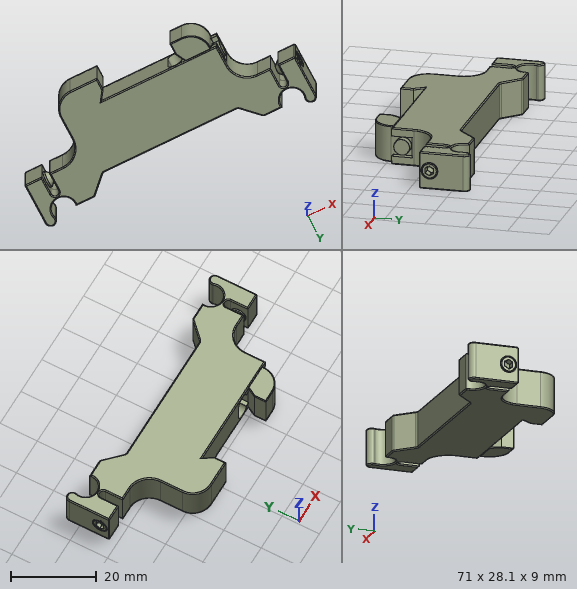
import cadquery as cq
import math

HEIGHT = 9.0
LENGTH = 70.9
ARM_TOP_Y = 28.1
ARM_BOTTOM_Y = 16.1
EDGE_CHAMFER = 0.3
ARM_CORNER_CHAMFER = 0.2
CORNER_RADIUS = 1.0

SEAT_X = 29.95
SEAT_Y = 25.5
SEAT_RADIUS = 3.0
ARM_TIP_RADIUS = 1.35
ARM_TIP_FLAT = 0.003
LAND_Y = 26.05
LAND_INNER_X = 22.15
SLOT_WIDTH = 2.0
SLOT_TOP_Y = 21.8

BACK_Y = 21.6
BODY_HALF_LENGTH = 20.3
SHOULDER_RADIUS = 5.25
FRONT_Y = 5.5
HOOK_RADIUS = 5.0
HOOK_TIP_X = -8.3
HOOK_TIP_Y = 3.1
HOOK_ROOT_X = -9.9

JAW_HEIGHT = 8.9
JAW_CHAMFER = 0.2
JAW_TIP_X = 10.8
JAW_ROOT_X = 12.1
JAW_OUTER_X = 18.8
NECK_LEFT_X = 12.35
NECK_HEIGHT = 5.0
CHANNEL_DEPTH = 5.0
POCKET_LEFT_X = 7.5
POCKET_WIDTH = 3.7
POCKET_HEIGHT = 8.1

CLAMP_SCREW_Y = 7.95
SHANK_DIAMETER = 2.0
SHANK_LENGTH = 16.0
SHANK_HOLE_DIAMETER = 2.4
HEAD_DIAMETER = 3.8
HEAD_LENGTH = 1.8

SET_SCREW_Y = 18.6
SET_SCREW_DIAMETER = 4.0
SET_SCREW_LENGTH = 6.0
SET_SCREW_TIP_DIAMETER = 2.0
SET_SCREW_TIP_LENGTH = 1.1
SET_SCREW_RIM = 0.3
SOCKET_WIDTH = 2.0
SOCKET_DEPTH = 2.0
SOCKET_CONE_ANGLE = 120
RIGHT_SCREW_PROTRUSION = 0.1

CHANNEL_BACK_Y = FRONT_Y + CHANNEL_DEPTH
HALF_LENGTH = LENGTH / 2
ARM_WIDTH = HALF_LENGTH - SEAT_X - SLOT_WIDTH / 2
ARM_TIP_INNER_X = HALF_LENGTH - 2 * ARM_TIP_RADIUS
ARM_TIP_FILLET = ARM_TIP_RADIUS - ARM_TIP_FLAT / 2
SLOPE_END_X = LAND_INNER_X - (LAND_Y - BACK_Y)
POCKET_MIDDLE_X = POCKET_LEFT_X + POCKET_WIDTH / 2
SHANK_END_X = JAW_OUTER_X - SHANK_LENGTH


def box_between(x_range, y_range, height):
    """Box over the given X and Y ranges, centred on Z = 0."""
    return (
        cq.Workplane("XY")
        .moveTo(sum(x_range) / 2, sum(y_range) / 2)
        .rect(x_range[1] - x_range[0], y_range[1] - y_range[0])
        .extrude(height / 2, both=True)
    )


def rod_along_x(start_x, y, diameter, length):
    """Cylinder that runs from start_x along +X."""
    plane = cq.Workplane("YZ", origin=(start_x, y, 0))
    return plane.circle(diameter / 2).extrude(length)


def plate_blank():
    """Plate with its hook, without rod seats and flexing slots."""
    right_half = [
        (HALF_LENGTH, ARM_BOTTOM_Y),
        (HALF_LENGTH, ARM_TOP_Y),
        (ARM_TIP_INNER_X, ARM_TOP_Y),
        (ARM_TIP_INNER_X, LAND_Y),
        (LAND_INNER_X, LAND_Y),
        (SLOPE_END_X, BACK_Y),
    ]
    left_half = [(-x, y) for x, y in reversed(right_half)]
    hook = [
        (-BODY_HALF_LENGTH, ARM_BOTTOM_Y),
        (-BODY_HALF_LENGTH, 0),
        (HOOK_TIP_X, 0),
        (HOOK_TIP_X, HOOK_TIP_Y),
        (HOOK_ROOT_X, FRONT_Y),
    ]
    front_corner = [(BODY_HALF_LENGTH, FRONT_Y), (BODY_HALF_LENGTH, ARM_BOTTOM_Y)]
    outline = right_half + left_half + hook + front_corner
    return cq.Workplane("XY").polyline(outline).close().extrude(HEIGHT / 2, both=True)


def round_upright_edges(body, places, radius):
    """Fillet the upright edges of body that stand at the given (x, y) places."""
    for x, y in places:
        body = body.edges(cq.selectors.NearestToPointSelector((x, y, 0))).fillet(radius)
    return body


def rounded_plate():
    """Plate blank with its outline corners rounded."""
    plate = plate_blank()
    for side in (-1, 1):
        bends = [(side * LAND_INNER_X, LAND_Y), (side * SLOPE_END_X, BACK_Y)]
        plate = round_upright_edges(plate, bends, CORNER_RADIUS)
        tip_corners = [(side * HALF_LENGTH, ARM_TOP_Y), (side * ARM_TIP_INNER_X, ARM_TOP_Y)]
        plate = round_upright_edges(plate, tip_corners, ARM_TIP_FILLET)
        plate = round_upright_edges(plate, [(side * BODY_HALF_LENGTH, ARM_BOTTOM_Y)], SHOULDER_RADIUS)
    return round_upright_edges(plate, [(-BODY_HALF_LENGTH, 0)], HOOK_RADIUS)


def cut_seats_and_slots(plate):
    """Cut the round rod seat and the flexing slot below it at each end."""
    slot_radius = SLOT_WIDTH / 2
    slot_centre_y = SLOT_TOP_Y - slot_radius
    for side in (-1, 1):
        x = side * SEAT_X
        seat = cq.Workplane("XY").moveTo(x, SEAT_Y).circle(SEAT_RADIUS).extrude(HEIGHT, both=True)
        slot_end = cq.Workplane("XY").moveTo(x, slot_centre_y).circle(slot_radius).extrude(HEIGHT, both=True)
        slot = box_between((x - slot_radius, x + slot_radius), (ARM_BOTTOM_Y, slot_centre_y), 2 * HEIGHT)
        plate = plate.cut(seat).cut(slot_end.union(slot))
    return plate


def chamfer_plate(plate):
    """Chamfer the outer corner of each arm, then all edges of the top and bottom faces."""
    for side in (-1, 1):
        corner = cq.selectors.NearestToPointSelector((side * HALF_LENGTH, ARM_BOTTOM_Y, 0))
        plate = plate.edges(corner).chamfer(ARM_CORNER_CHAMFER)
    return plate.faces("<Z or >Z").edges().chamfer(EDGE_CHAMFER)


def jaw_space():
    """Oblong pocket in the front wall, joined by the channel that runs out at the +X end."""
    pocket = (
        cq.Workplane("XZ", origin=(POCKET_MIDDLE_X, FRONT_Y, 0))
        .slot2D(POCKET_HEIGHT, POCKET_WIDTH, 90)
        .extrude(-CHANNEL_DEPTH)
    )
    channel = box_between((POCKET_MIDDLE_X, BODY_HALF_LENGTH), (FRONT_Y, CHANNEL_BACK_Y), NECK_HEIGHT)
    return pocket.union(channel)


def make_bracket(screws):
    """Bracket, with holes that match the screws."""
    bracket = chamfer_plate(cut_seats_and_slots(rounded_plate())).cut(jaw_space())
    for start_x, y, diameter, length in screws:
        bracket = bracket.cut(rod_along_x(start_x, y, diameter, length))
    return bracket


def make_jaw():
    """Clamp jaw: a block that faces the hook, and a neck inside the channel with a clearance hole."""
    block = (
        cq.Workplane("XY")
        .moveTo(JAW_TIP_X, 0)
        .lineTo(JAW_TIP_X, HOOK_TIP_Y)
        .lineTo(JAW_ROOT_X, FRONT_Y)
        .lineTo(JAW_OUTER_X, FRONT_Y)
        .lineTo(JAW_OUTER_X, HOOK_RADIUS)
        .radiusArc((JAW_OUTER_X - HOOK_RADIUS, 0), HOOK_RADIUS)
        .close()
        .extrude(JAW_HEIGHT / 2, both=True)
        .faces("<Z or >Z")
        .edges("not >Y")
        .chamfer(JAW_CHAMFER)
    )
    neck = box_between((NECK_LEFT_X, JAW_OUTER_X), (FRONT_Y, CHANNEL_BACK_Y), NECK_HEIGHT)
    shank_hole = rod_along_x(NECK_LEFT_X, CLAMP_SCREW_Y, SHANK_HOLE_DIAMETER, JAW_OUTER_X - NECK_LEFT_X)
    return block.union(neck).cut(shank_hole)


def make_clamp_screw():
    """Screw whose head bears on the jaw's neck and whose shank enters the bracket."""
    head = rod_along_x(JAW_OUTER_X, CLAMP_SCREW_Y, HEAD_DIAMETER, HEAD_LENGTH)
    shank = rod_along_x(SHANK_END_X, CLAMP_SCREW_Y, SHANK_DIAMETER, SHANK_LENGTH)
    return head.union(shank)


def set_screw_socket():
    """Hexagonal socket with a conical bottom, open at X = 0 and running along +X."""
    corner_radius = SOCKET_WIDTH / math.sqrt(3)
    full_depth = SOCKET_DEPTH + corner_radius / math.tan(math.radians(SOCKET_CONE_ANGLE / 2))
    hexagon = (
        cq.Workplane("YZ")
        .transformed(rotate=(0, 0, 90))
        .polygon(6, 2 * corner_radius)
        .extrude(full_depth)
    )
    drilled = (
        cq.Workplane("XY")
        .polyline([(0, 0), (0, corner_radius), (SOCKET_DEPTH, corner_radius), (full_depth, 0)])
        .close()
        .revolve(360, (0, 0, 0), (1, 0, 0))
    )
    return hexagon.intersect(drilled)


def make_set_screw(side, outer_end):
    """Set screw on the given side: socket at its outer end, cone point towards the slot."""
    radius = SET_SCREW_DIAMETER / 2
    profile = [
        (0, 0),
        (0, radius - SET_SCREW_RIM),
        (SET_SCREW_RIM, radius),
        (SET_SCREW_LENGTH - SET_SCREW_TIP_LENGTH, radius),
        (SET_SCREW_LENGTH, SET_SCREW_TIP_DIAMETER / 2),
        (SET_SCREW_LENGTH, 0),
    ]
    screw = cq.Workplane("XY").polyline(profile).close().revolve(360, (0, 0, 0), (1, 0, 0))
    screw = screw.cut(set_screw_socket())
    if side > 0:
        screw = screw.rotate((0, 0, 0), (0, 0, 1), 180)
    return screw.translate((side * outer_end, SET_SCREW_Y, 0))


screw_holes = [
    (-HALF_LENGTH, SET_SCREW_Y, SET_SCREW_DIAMETER, ARM_WIDTH),
    (HALF_LENGTH - ARM_WIDTH, SET_SCREW_Y, SET_SCREW_DIAMETER, ARM_WIDTH),
    (SHANK_END_X, CLAMP_SCREW_Y, SHANK_DIAMETER, SHANK_LENGTH),
]

bracket = make_bracket(screw_holes)
jaw = make_jaw()
clamp_screw = make_clamp_screw()
set_screw_ends = [(-1, HALF_LENGTH), (1, HALF_LENGTH + RIGHT_SCREW_PROTRUSION)]
set_screws = [make_set_screw(side, outer_end) for side, outer_end in set_screw_ends]

result = cq.Compound.makeCompound(
    [bracket.val(), jaw.val(), clamp_screw.val(), *[screw.val() for screw in set_screws]]
)